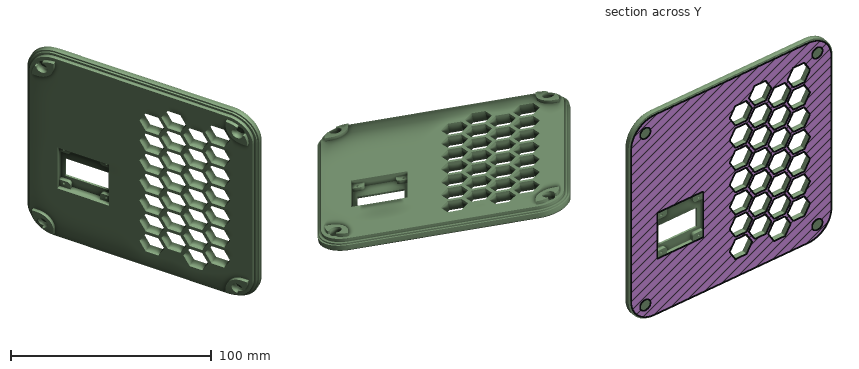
import cadquery as cq
import math

cover_size = 128.0
corner_radius = 16.0
flange_thickness = 3.2
back_edge_chamfer = 0.6

step_inset = 1.0
step_thickness = 0.8
lip_inset = 2.4
lip_thickness = 1.8

pocket_depth = 0.6
pocket_inset = lip_inset

foot_inset = 4.5
foot_size = 12.0
foot_height = 1.8
foot_inner_radius = 9.3
foot_notch_edge = 10.2
magnet_inset = 10.0
magnet_diameter = 6.3
magnet_hole_depth = 4.2

hex_flats = 12.0
hex_wall = 2.0
hex_columns = 4
hex_rows = 7
vent_center_x = 24.2

recess_x = -32.0
recess_z = -14.0
recess_width = 28.6
recess_height = 28.5
recess_floor_thickness = 1.0
window_z = -16.0
window_width = 24.0
window_height = 12.0

screw_spacing = 23.5
screw_hole_diameter = 1.2
standoff_width = 6.2
standoff_depth = 4.4
standoff_radius = 2.0
standoff_height = 2.0

total_depth = flange_thickness + step_thickness + lip_thickness + foot_height
back_y = total_depth / 2
step_back_y = back_y - flange_thickness
lip_back_y = step_back_y - step_thickness
plate_front_y = lip_back_y - lip_thickness
foot_front_y = plate_front_y - foot_height
pocket_y = back_y - pocket_depth
recess_floor_y = pocket_y - recess_floor_thickness

half_size = cover_size / 2
corner_signs = [(sx, sz) for sx in (-1, 1) for sz in (-1, 1)]


def block(x, z, width, height, front_y, rear_y):
    """Box centred on (x, z), spanning front_y to rear_y."""
    depth = rear_y - front_y
    return cq.Workplane("XY").box(width, depth, height).translate((x, front_y + depth / 2, z))


def cylinder(x, z, diameter, front_y, rear_y):
    """Cylinder along Y, spanning front_y to rear_y."""
    plane = cq.Workplane("XZ", origin=(x, rear_y, z))
    return plane.circle(diameter / 2).extrude(rear_y - front_y)


def round_corner(body, sx, sz, radius):
    """Round the one edge along Y that lies on the sx side in X and the sz side in Z."""
    x_side = ">X" if sx > 0 else "<X"
    z_side = ">Z" if sz > 0 else "<Z"
    return body.edges("|Y").edges(x_side).edges(z_side).fillet(radius)


def rounded_plate(inset, front_y, rear_y):
    """Rounded square whose corners stay concentric with the cover's corners."""
    size = cover_size - 2 * inset
    return block(0, 0, size, size, front_y, rear_y).edges("|Y").fillet(corner_radius - inset)


def make_plate():
    flange = rounded_plate(0, step_back_y, back_y).faces(">Y").chamfer(back_edge_chamfer)
    step = rounded_plate(step_inset, lip_back_y, step_back_y)
    lip = rounded_plate(lip_inset, plate_front_y, lip_back_y)
    pocket = rounded_plate(pocket_inset, pocket_y, back_y)
    return flange.union(step).union(lip).cut(pocket)


def make_foot(sx, sz):
    """Leaf-shaped foot, opened towards the cover corner by a square notch."""
    center = half_size - foot_inset - foot_size / 2
    foot = block(sx * center, sz * center, foot_size, foot_size, foot_front_y, plate_front_y)
    foot = round_corner(foot, sx, sz, corner_radius - foot_inset)
    foot = round_corner(foot, -sx, -sz, foot_inner_radius)
    notch_center = half_size - foot_notch_edge / 2
    notch = block(sx * notch_center, sz * notch_center, foot_notch_edge, foot_notch_edge,
                  foot_front_y, plate_front_y)
    return foot.cut(notch)


def make_magnet_hole(sx, sz):
    center = half_size - magnet_inset
    return cylinder(sx * center, sz * center, magnet_diameter,
                    foot_front_y, foot_front_y + magnet_hole_depth)


def make_vent():
    """Hexagonal openings; every other column is raised by half a pitch."""
    row_pitch = hex_flats + hex_wall
    column_pitch = row_pitch * math.cos(math.radians(30))
    hex_corners = hex_flats / math.cos(math.radians(30))
    centers = []
    for column in range(hex_columns):
        x = vent_center_x + (column - (hex_columns - 1) / 2) * column_pitch
        shift = row_pitch / 4 if column % 2 else -row_pitch / 4
        for row in range(hex_rows):
            centers.append((x, (row - (hex_rows - 1) / 2) * row_pitch + shift))
    plane = cq.Workplane("XZ", origin=(0, back_y, 0))
    return plane.pushPoints(centers).polygon(6, hex_corners).extrude(total_depth)


def make_standoff(sx, sz):
    """Block filling one recess corner, rounded at its free corner, with a screw hole."""
    x = recess_x + sx * (recess_width - standoff_width) / 2
    z = recess_z + sz * (recess_height - standoff_depth) / 2
    front_y = recess_floor_y - standoff_height
    standoff = block(x, z, standoff_width, standoff_depth, front_y, recess_floor_y)
    standoff = round_corner(standoff, -sx, -sz, standoff_radius)
    hole = cylinder(recess_x + sx * screw_spacing / 2, recess_z + sz * screw_spacing / 2,
                    screw_hole_diameter, front_y, recess_floor_y)
    return standoff.cut(hole)


def make_recess():
    """Front recess together with the display window through its floor."""
    recess = block(recess_x, recess_z, recess_width, recess_height, plate_front_y, recess_floor_y)
    window = block(recess_x, window_z, window_width, window_height, recess_floor_y, back_y)
    return recess.union(window)


result = make_plate()
for sx, sz in corner_signs:
    result = result.union(make_foot(sx, sz)).cut(make_magnet_hole(sx, sz))
result = result.cut(make_vent()).cut(make_recess())
for sx, sz in corner_signs:
    result = result.union(make_standoff(sx, sz))